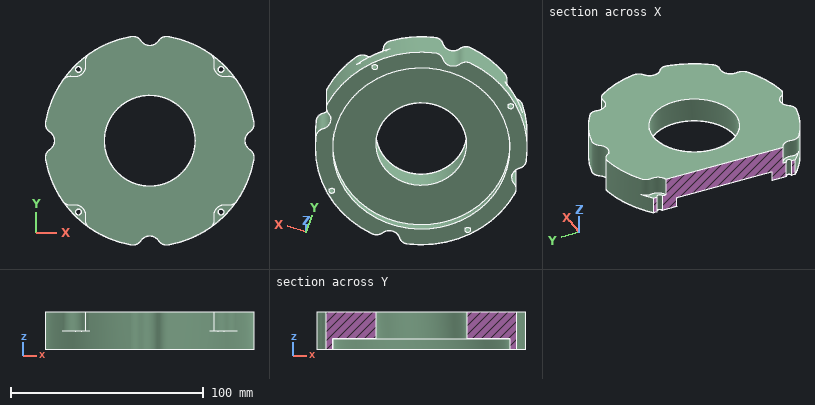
import cadquery as cq
import math

OUTER_RADIUS = 110 / 2
BORE_RADIUS = 47 / 2
THICKNESS = 19.5

RECESS_RADIUS = 92 / 2
RECESS_DEPTH = 5.5

THROUGH_NOTCH_RADIUS = 5.5
POCKET_RADIUS = 5.65
SHOULDER_RADIUS = 5.0
THROUGH_NOTCH_ANGLES = (0, 90, 180, 270)
POCKET_ANGLES = (45, 135, 225, 315)
POCKET_FLOOR_HEIGHT = 9.5

HOLE_DIAMETER = 2.9
HOLE_OFFSET = 37.0
HOLE_CIRCLE_RADIUS = HOLE_OFFSET * math.sqrt(2)

CUTTER_MARGIN = 5.0


def make_ring():
    return cq.Workplane("XY").circle(OUTER_RADIUS).circle(BORE_RADIUS).extrude(THICKNESS)


def make_recess():
    return cq.Workplane("XY").circle(RECESS_RADIUS).extrude(RECESS_DEPTH)


def make_notch(angle, notch_radius, floor_height):
    """Cutter for one notch, from floor_height up to the top face, at the given angle."""
    shoulder_distance = OUTER_RADIUS - SHOULDER_RADIUS
    center_gap = notch_radius + SHOULDER_RADIUS
    shoulder_x = (shoulder_distance**2 + OUTER_RADIUS**2 - center_gap**2) / (2 * OUTER_RADIUS)
    shoulder_y = math.sqrt(shoulder_distance**2 - shoulder_x**2)

    rim_x = shoulder_x * OUTER_RADIUS / shoulder_distance
    rim_y = shoulder_y * OUTER_RADIUS / shoulder_distance
    notch_share = notch_radius / center_gap
    throat_x = OUTER_RADIUS + (shoulder_x - OUTER_RADIUS) * notch_share
    throat_y = shoulder_y * notch_share

    rim_direction = math.atan2(rim_y - shoulder_y, rim_x - shoulder_x)
    throat_direction = math.atan2(throat_y - shoulder_y, throat_x - shoulder_x)
    middle_direction = (rim_direction + throat_direction) / 2
    middle_x = shoulder_x + SHOULDER_RADIUS * math.cos(middle_direction)
    middle_y = shoulder_y + SHOULDER_RADIUS * math.sin(middle_direction)

    cutter_end = OUTER_RADIUS + CUTTER_MARGIN
    return (
        cq.Workplane("XY")
        .workplane(offset=floor_height)
        .moveTo(rim_x, rim_y)
        .threePointArc((middle_x, middle_y), (throat_x, throat_y))
        .threePointArc((OUTER_RADIUS - notch_radius, 0), (throat_x, -throat_y))
        .threePointArc((middle_x, -middle_y), (rim_x, -rim_y))
        .lineTo(cutter_end, -rim_y)
        .lineTo(cutter_end, rim_y)
        .close()
        .extrude(THICKNESS - floor_height)
        .rotate((0, 0, 0), (0, 0, 1), angle)
    )


def make_floor_hole(angle):
    return (
        cq.Workplane("XY")
        .center(HOLE_CIRCLE_RADIUS, 0)
        .circle(HOLE_DIAMETER / 2)
        .extrude(THICKNESS)
        .rotate((0, 0, 0), (0, 0, 1), angle)
    )


result = make_ring().cut(make_recess())

for notch_angle in THROUGH_NOTCH_ANGLES:
    result = result.cut(make_notch(notch_angle, THROUGH_NOTCH_RADIUS, 0))

for pocket_angle in POCKET_ANGLES:
    result = result.cut(make_notch(pocket_angle, POCKET_RADIUS, POCKET_FLOOR_HEIGHT))
    result = result.cut(make_floor_hole(pocket_angle))